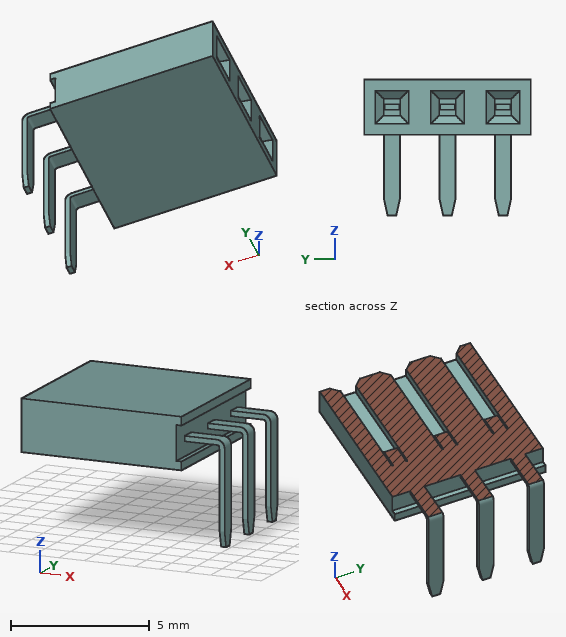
import cadquery as cq

pitch = 2.0
pin_count = 3
body_length = 6.34
body_width = pin_count * pitch
body_height = 2.0
mid_height = body_height / 2
rear_recess_depth = 0.2
rear_lip_height = 0.33

mouth_size = 1.2
hole_size = 0.6
mouth_depth = 0.3
hole_depth = 4.63

total_length = 7.72
total_height = 4.9
pin_width = 0.59
contact_width = 0.53
contact_length = 0.77
pin_thickness = 0.2
bend_outer_radius = 0.3
bend_inner_radius = bend_outer_radius - pin_thickness
tip_width = 0.32
tip_length = 0.61
pin_bottom = body_height - total_height
pin_top = mid_height + pin_thickness / 2

pin_positions = [(i - (pin_count - 1) / 2) * pitch for i in range(pin_count)]


def make_housing():
    """Block with a slot across the full width of its rear face."""
    body = cq.Workplane("XY").box(body_length, body_width, body_height, centered=(False, True, False))
    recess = cq.Workplane("XY").box(
        rear_recess_depth, body_width, body_height - 2 * rear_lip_height, centered=(False, True, False)
    )
    return body.cut(recess.translate((body_length - rear_recess_depth, 0, rear_lip_height)))


def make_socket(y):
    """Square blind hole with a tapered lead-in."""
    mouth = (
        cq.Workplane("YZ", origin=(0, y, mid_height))
        .rect(mouth_size, mouth_size)
        .workplane(offset=mouth_depth)
        .rect(hole_size, hole_size)
        .loft(ruled=True)
    )
    hole = cq.Workplane("YZ", origin=(0, y, mid_height)).rect(hole_size, hole_size).extrude(hole_depth)
    return mouth.union(hole)


def make_pin(y):
    """Right-angle pin with a narrow contact in front and a tapered lower tip."""
    leg = (
        cq.Workplane("XZ", origin=(0, y, 0))
        .moveTo(hole_depth, pin_top)
        .lineTo(total_length, pin_top)
        .lineTo(total_length, pin_bottom)
        .lineTo(total_length - pin_thickness, pin_bottom)
        .lineTo(total_length - pin_thickness, pin_top - pin_thickness)
        .lineTo(hole_depth, pin_top - pin_thickness)
        .close()
        .extrude(pin_width / 2, both=True)
    )
    leg = leg.edges("|Y and >X and >Z").fillet(bend_outer_radius)
    inner_corner = cq.selectors.NearestToPointSelector(
        (total_length - pin_thickness, y, pin_top - pin_thickness)
    )
    leg = leg.edges("|Y").edges(inner_corner).fillet(bend_inner_radius)

    tapered_outline = (
        cq.Workplane("YZ", origin=(0, y, 0))
        .moveTo(-pin_width / 2, pin_top)
        .lineTo(-pin_width / 2, pin_bottom + tip_length)
        .lineTo(-tip_width / 2, pin_bottom)
        .lineTo(tip_width / 2, pin_bottom)
        .lineTo(pin_width / 2, pin_bottom + tip_length)
        .lineTo(pin_width / 2, pin_top)
        .close()
        .extrude(total_length)
    )
    contact = (
        cq.Workplane("YZ", origin=(hole_depth - contact_length, y, mid_height))
        .rect(contact_width, pin_thickness)
        .extrude(contact_length)
    )
    return leg.intersect(tapered_outline).union(contact)


result = make_housing()
for y_position in pin_positions:
    result = result.cut(make_socket(y_position)).union(make_pin(y_position))